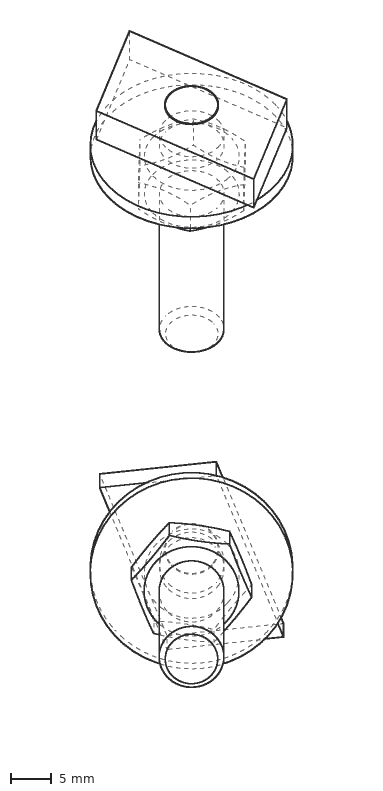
import cadquery as cq
import math

total_length = 40.0
stud_diameter = 8.0
stud_radius = stud_diameter / 2
tip_chamfer = 0.75
tip_radius = stud_radius - tip_chamfer

head_thickness = 5.0
head_span_x = 26.5
head_depth_y = 14.0
head_skew_angle = 15.0
head_bottom = total_length - head_thickness

head_gap = 2.0
washer_diameter = 25.0
washer_thickness = 2.0
washer_bottom = head_bottom - head_gap - washer_thickness

nut_height = 6.5
nut_across_flats = 13.0
nut_across_corners = nut_across_flats / math.cos(math.radians(30))
nut_face_diameter = 11.7
nut_chamfer_angle = 30.0
nut_bottom = washer_bottom - nut_height

head_hole_radius = 3.3
groove_depth = head_hole_radius - tip_radius


def make_head():
    half_span = head_span_x / 2
    half_depth = head_depth_y / 2
    skew = head_depth_y * math.tan(math.radians(head_skew_angle))
    outline = [
        (-half_span, half_depth),
        (half_span - skew, half_depth),
        (half_span, -half_depth),
        (-half_span + skew, -half_depth),
    ]
    return cq.Workplane("XY").workplane(offset=head_bottom).polyline(outline).close().extrude(head_thickness)


def make_stud():
    stud = cq.Workplane("XY").circle(stud_radius).extrude(head_bottom)
    return stud.faces("<Z").chamfer(tip_chamfer)


def make_washer():
    return cq.Workplane("XY").workplane(offset=washer_bottom).circle(washer_diameter / 2).extrude(washer_thickness)


def make_nut():
    """Hexagon with corners on X, trimmed by a double cone to bevel both ends."""
    hexagon = cq.Workplane("XY").workplane(offset=nut_bottom).polygon(6, nut_across_corners).extrude(nut_height)
    face_radius = nut_face_diameter / 2
    corner_radius = nut_across_corners / 2
    bevel_height = (corner_radius - face_radius) * math.tan(math.radians(nut_chamfer_angle))
    envelope = (
        cq.Workplane("XZ")
        .moveTo(0, nut_bottom)
        .lineTo(face_radius, nut_bottom)
        .lineTo(corner_radius, nut_bottom + bevel_height)
        .lineTo(corner_radius, washer_bottom - bevel_height)
        .lineTo(face_radius, washer_bottom)
        .lineTo(0, washer_bottom)
        .close()
        .revolve(360, (0, 0, 0), (0, 1, 0))
    )
    return hexagon.intersect(envelope)


def make_stud_end_groove():
    """Ring with a straight outer wall and a 45 degree inner wall."""
    return (
        cq.Workplane("XZ")
        .moveTo(tip_radius, total_length)
        .lineTo(head_hole_radius, total_length)
        .lineTo(head_hole_radius, total_length - groove_depth)
        .close()
        .revolve(360, (0, 0, 0), (0, 1, 0))
    )


body = make_stud().union(make_head()).union(make_washer()).union(make_nut())
result = body.cut(make_stud_end_groove())